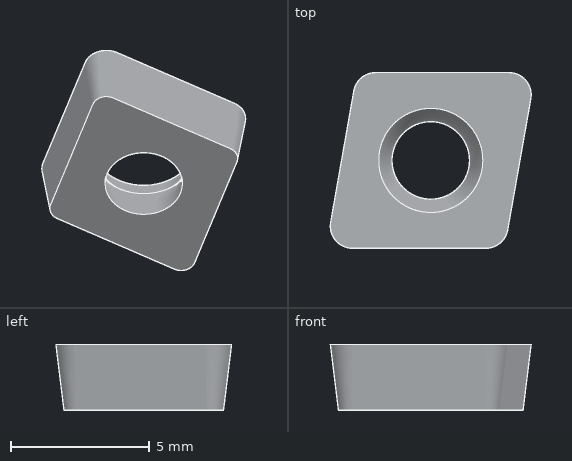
import cadquery as cq
import math

length = 7.26
width = 6.35
thickness = 2.38
corner_angle = 80.0
relief_angle = 7.0

mouth_radius = 1.88
mouth_depth = 0.5
bore_radius = 1.395
bore_height = 0.42

angle = math.radians(corner_angle)
reach = 1 / math.tan(angle) + 1 / math.sin(angle)
corner_radius = (width * reach - length) / (2 * (reach - 1))


def insert_body():
    """Rounded rhombus, full size on top and shrinking towards the bottom."""
    half_width = width / 2
    half_side = width / math.sin(angle) / 2
    lean = half_width / math.tan(angle)
    corners = [
        (-half_side - lean, -half_width),
        (half_side - lean, -half_width),
        (half_side + lean, half_width),
        (-half_side + lean, half_width),
    ]
    outline = cq.Sketch().polygon(corners + corners[:1]).vertices().fillet(corner_radius)
    return (
        cq.Workplane("XY", origin=(0, 0, thickness))
        .placeSketch(outline)
        .extrude(-thickness, taper=relief_angle)
    )


def screw_hole():
    """Revolved hole: straight mouth, convex seat tangent to the bore, through bore."""
    seat_top = thickness - mouth_depth
    seat_height = seat_top - bore_height
    seat_step = mouth_radius - bore_radius
    seat_radius = (seat_height**2 + seat_step**2) / (2 * seat_step)
    half_sweep = math.asin(seat_height / seat_radius) / 2
    seat_middle = (
        bore_radius + seat_radius * (1 - math.cos(half_sweep)),
        bore_height + seat_radius * math.sin(half_sweep),
    )
    return (
        cq.Workplane("XZ")
        .lineTo(bore_radius, 0)
        .lineTo(bore_radius, bore_height)
        .threePointArc(seat_middle, (mouth_radius, seat_top))
        .lineTo(mouth_radius, thickness)
        .lineTo(0, thickness)
        .close()
        .revolve(360, (0, 0, 0), (0, 1, 0))
    )


result = insert_body().cut(screw_hole())